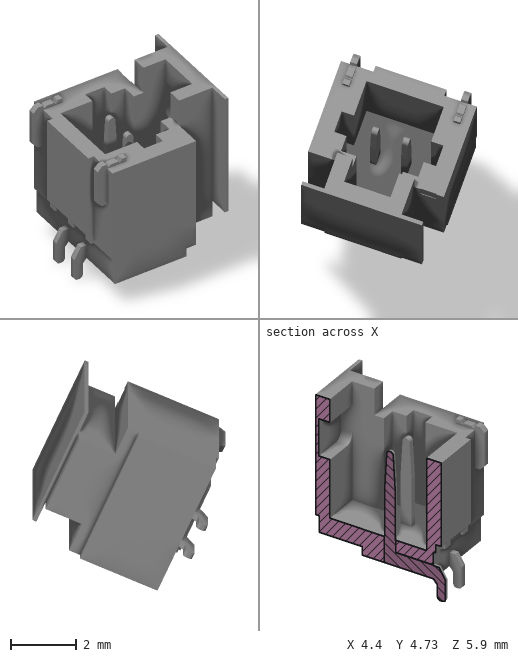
import cadquery as cq
import math


housing_width = 4.4
housing_rear = 3.05
housing_bottom = 0.695
housing_top = 4.95
step_height = 1.645
step_depth = 0.095
underside_relief_start = 2.695
underside_relief_z = 1.0

boss_width = 2.5
boss_rear = 4.26
boss_top = 5.9

cavity_floor = step_height
cavity_width = boss_width
cavity_front = 0.35
cavity_rear = 2.7
notch_width = 3.3
notch_front = 1.51
notch_rear = 2.2
slot_width = 1.505
slot_rear = 3.85

window_top = 5.055
window_bottom = 3.735
window_radius = 0.31

panel_width = 2.3
panel_depth = 0.2
panel_bottom = 1.945
pad_width = 0.3
pad_depth = 0.1

mark_width = 0.51
mark_height = 0.51
mark_depth = 0.02
mark_center_x = -1.7

plate_width = 3.91
plate_bottom = 1.59
plate_rear = 4.385

nail_width = 0.22
nail_spacing = 3.595
nail_front = -0.35
nail_top = 5.11
nail_bottom = 3.595
nail_rear = 0.7
nail_chamfer = 0.16
groove_z = 5.005
groove_width = 0.135
groove_floor = 0.035
saddle_z = 5.055
front_land_end = -0.02
land_length = 0.165

pin_width = 0.195
pin_pitch = 1.005
pin_center_y = 1.675
pin_tip_z = 4.755
blade_thickness = 0.4
tip_thickness = 0.255
taper_bottom = 3.375
leg_top = 1.185
tail_front = nail_front
tail_thickness = 0.305
tail_tip_radius = 0.12
bend_top_y = -0.11
bend_front_z = 0.795
bend_rear_z = 0.53


def block(width, y_range, z_range, center_x=0.0):
    """Box centred on center_x, spanning the given Y and Z ranges."""
    return (
        cq.Workplane("XY")
        .box(width, y_range[1] - y_range[0], z_range[1] - z_range[0], centered=(True, False, False))
        .translate((center_x, y_range[0], z_range[0]))
    )


def pair_positions(spacing):
    """X positions of two parts placed symmetrically about the centre plane."""
    return (-spacing / 2, spacing / 2)


def side_profile(width, center_x):
    """YZ workplane whose extrusion toward +X is centred on center_x."""
    return cq.Workplane("YZ").workplane(offset=center_x - width / 2)


def shell():
    body = block(housing_width, (0, housing_rear), (step_height, housing_top))
    body = body.union(
        block(housing_width, (step_depth, underside_relief_start), (housing_bottom, step_height))
    )
    body = body.union(
        block(housing_width, (step_depth, housing_rear), (underside_relief_z, step_height))
    )
    return body.union(block(boss_width, (housing_rear, boss_rear), (underside_relief_z, boss_top)))


def cavity():
    z_range = (cavity_floor, boss_top)
    main = block(cavity_width, (cavity_front, cavity_rear), z_range)
    notches = block(notch_width, (notch_front, notch_rear), z_range)
    key_slot = block(slot_width, (cavity_rear, slot_rear), z_range)
    return main.union(notches).union(key_slot)


def window():
    opening = block(slot_width, (slot_rear, boss_rear), (window_bottom, window_top))
    return opening.edges("|Y and <Z").fillet(window_radius)


def front_panel():
    panel = block(panel_width, (-panel_depth, 0), (panel_bottom, housing_top))
    pad_offset = (panel_width - pad_width) / 2
    for x in (-pad_offset, 0, pad_offset):
        panel = panel.union(block(pad_width, (-pad_depth, 0), (step_height, panel_bottom), x))
    return panel


def mark_recess():
    return block(
        mark_width,
        (housing_rear - mark_depth, housing_rear),
        (housing_top - mark_height, housing_top),
        mark_center_x,
    )


def nail(center_x):
    """L-shaped metal strip over the front top edge, with two grooves across its top."""
    rear_land_end = nail_rear - land_length
    groove_slope = (groove_width - groove_floor) / 2
    outline = [
        (nail_rear, housing_top),
        (nail_rear, nail_top),
        (rear_land_end, nail_top),
        (rear_land_end - groove_slope, groove_z),
        (rear_land_end - groove_slope - groove_floor, groove_z),
        (rear_land_end - groove_width, saddle_z),
        (front_land_end + groove_width, saddle_z),
        (front_land_end + groove_slope + groove_floor, groove_z),
        (front_land_end + groove_slope, groove_z),
        (front_land_end, nail_top),
        (nail_front + nail_chamfer, nail_top),
        (nail_front, nail_top - nail_chamfer),
        (nail_front, nail_bottom + nail_chamfer),
        (nail_front + nail_chamfer, nail_bottom),
        (0, nail_bottom),
        (0, housing_top),
    ]
    return side_profile(nail_width, center_x).polyline(outline).close().extrude(nail_width)


def pin(center_x):
    """Tapered round-tipped blade, a leg to the front, and a bent tail below it."""
    blade_rear = pin_center_y + blade_thickness / 2
    blade_front = pin_center_y - blade_thickness / 2
    tip_radius = tip_thickness / 2
    shoulder_z = pin_tip_z - tip_radius
    tail_rear = tail_front + tail_thickness
    arc_inset = tail_tip_radius * (1 - math.sqrt(0.5))
    return (
        side_profile(pin_width, center_x)
        .moveTo(blade_rear, housing_bottom)
        .lineTo(blade_rear, taper_bottom)
        .lineTo(pin_center_y + tip_radius, shoulder_z)
        .threePointArc((pin_center_y, pin_tip_z), (pin_center_y - tip_radius, shoulder_z))
        .lineTo(blade_front, taper_bottom)
        .lineTo(blade_front, leg_top)
        .lineTo(bend_top_y, leg_top)
        .lineTo(tail_front, bend_front_z)
        .lineTo(tail_front, tail_tip_radius)
        .threePointArc((tail_front + arc_inset, arc_inset), (tail_front + tail_tip_radius, 0))
        .lineTo(tail_rear - tail_tip_radius, 0)
        .threePointArc((tail_rear - arc_inset, arc_inset), (tail_rear, tail_tip_radius))
        .lineTo(tail_rear, bend_rear_z)
        .lineTo(step_depth, housing_bottom)
        .close()
        .extrude(pin_width)
    )


def moulding():
    """Shell, front panel, cavity, window and mark, before the metal parts are added."""
    return shell().union(front_panel()).cut(cavity()).cut(window()).cut(mark_recess())


def pickup_plate():
    return block(plate_width, (boss_rear, plate_rear), (plate_bottom, boss_top))


pins = [pin(x) for x in pair_positions(pin_pitch)]

housing = moulding()
for nail_x in pair_positions(nail_spacing):
    housing = housing.union(nail(nail_x))
for contact in pins:
    housing = housing.cut(contact)
housing = housing.union(pickup_plate(), clean=False)

result = cq.Compound.makeCompound([housing.val(), *[contact.val() for contact in pins]])